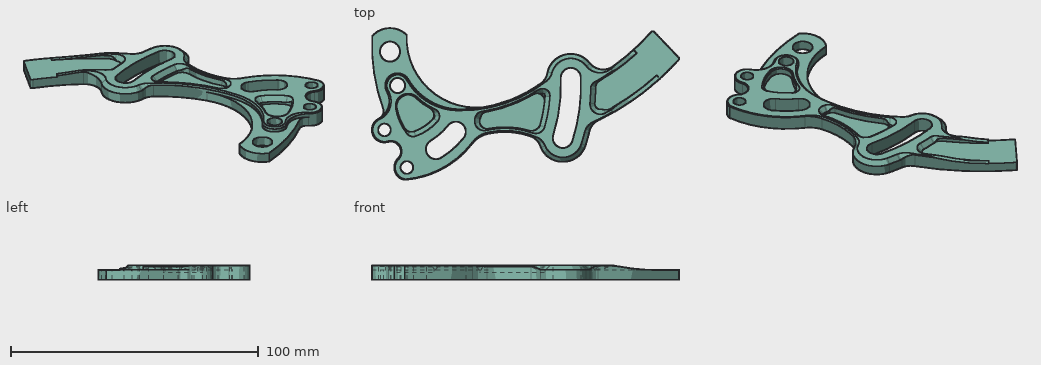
import cadquery as cq
import math

ORIGIN = (0.0, 0.0)

THICKNESS = 5.99
STEP_Z = 4.0
POCKET_FLOOR_Z = 3.0
BEVEL_DEPTH = THICKNESS - STEP_Z
CUT_CLEARANCE = 1.0

BOSS_RADIUS = 5.0
BOSS_HOLE_RADIUS = 3.0
LUG_RADIUS = 5.1
LUG_HOLE_RADIUS = 2.5
LUG_A = (-5.3, -17.92)
LUG_B = (3.74, -33.08)
EAR_CENTRE = (-3.05, 13.7)
EAR_RADIUS = 9.55
EAR_HOLE_RADIUS = 4.0

SLOT_HALF_WIDTH = 4.0
LOWER_SLOT_RADIUS = 30.0
LOWER_SLOT_ANGLES = (-58.9, -38.4)
ARM_SLOT_RADIUS = 70.0
ARM_SLOT_ANGLES = (-17.6, 2.55)

BOW_RADIUS = 38.2
RING_RADIUS = 9.7
DISC_CENTRE = (31.7, 19.15)
DISC_RADIUS = 28.0
NECK_TOP_RADIUS = 55.5
NECK_TANGENT_ANGLE = 103.0
NECK_BOTTOM_CENTRE = (43.34, -50.48)
NECK_BOTTOM_RADIUS = 31.7
EAR_SIDE_CENTRE = (65.0, 16.4)
EAR_SIDE_RADIUS = 75.4
ARM_CENTRE = (34.6, 81.3)
ARM_INNER_RADIUS = 90.3
ARM_OUTER_RADIUS = 106.1

LUG_BLEND = 4.0
BOW_BLEND = 10.3
RING_BLEND = 6.2
ARM_INNER_BLEND = 7.0
PAD_BLEND = 24.0
BOSS_BLEND = 8.0
EAR_BLEND = 3.2

ARM_OVERRUN_RADIUS = 130.0
TIP_EDGE_POINT = (114.7, 10.1)
TIP_ANGLE = 133.7
TIP_CORNER_RADIUS = 0.7
RAMP_START_X = 86.4
RAMP_END_X = 105.3
RIB_END_ANGLE = -47.75
RIB_WIDTH = 1.9
ARM_POCKET_RADIUS = 78.0
ARM_POCKET_INNER_CORNER = 3.0
ARM_POCKET_OUTER_CORNER = 4.2

BOSS_BEVEL = 0.65
LUG_BEVEL = 0.35
BOW_BEVEL = 0.25
NECK_BEVEL = 0.6
RING_BEVEL = 1.85
ARM_BEVEL = 0.35

POCKET_EDGE_BEVEL = 0.5
POCKET_END_BEVEL = 2.0
WEB_SWEEP_CENTRE = (25.5, 13.7)
WEB_SWEEP_RADIUS = 25.5
WEB_LEFT_CENTRE = (21.9, -5.2)
WEB_LEFT_RADIUS = 23.0
WEB_SLOT_WALL_RADIUS = 21.7
WEB_CORNER = 3.1
WEB_TOP_CORNER = 5.1
NECK_POCKET_WALL = 1.55
NECK_POCKET_END_RADIUS = 61.7
NECK_POCKET_START_RADIUS = 33.9
NECK_POCKET_LOWER_CORNER = 3.8
NECK_POCKET_UPPER_CORNER = 3.0
NECK_POCKET_START_CORNERS = (3.2, 3.9)
NECK_FLOOR_START_CORNERS = (2.0, 3.0)


def polar(centre, radius, degrees):
    angle = math.radians(degrees)
    return (centre[0] + radius * math.cos(angle), centre[1] + radius * math.sin(angle))


def heading(start, end):
    return math.degrees(math.atan2(end[1] - start[1], end[0] - start[0]))


LOWER_SLOT_ENDS = [polar(ORIGIN, LOWER_SLOT_RADIUS, a) for a in LOWER_SLOT_ANGLES]
ARM_SLOT_ENDS = [polar(ORIGIN, ARM_SLOT_RADIUS, a) for a in ARM_SLOT_ANGLES]
NECK_TOP_CENTRE = polar(DISC_CENTRE, NECK_TOP_RADIUS - DISC_RADIUS, NECK_TANGENT_ANGLE)


def bulge(centre, radius, inset=0.0):
    """Wall with the material inside its circle, moved inward by the inset."""
    return (centre, radius - inset, 1)


def hollow(centre, radius, inset=0.0):
    """Wall with the material outside its circle, moved inward by the inset."""
    return (centre, radius + inset, -1)


def circle_meeting(centre_a, radius_a, centre_b, radius_b, near):
    """Of the two points where circles meet, the one closest to `near`."""
    gap = math.dist(centre_a, centre_b)
    along = (gap**2 + radius_a**2 - radius_b**2) / (2 * gap)
    across = math.sqrt(max(0.0, radius_a**2 - along**2))
    ux = (centre_b[0] - centre_a[0]) / gap
    uy = (centre_b[1] - centre_a[1]) / gap
    foot = (centre_a[0] + along * ux, centre_a[1] + along * uy)
    choices = [(foot[0] - side * across * uy, foot[1] + side * across * ux) for side in (1, -1)]
    return min(choices, key=lambda point: math.dist(point, near))


def arc_middle(centre, start, end, turn):
    """Middle of the arc from start to end; turn is 1 anticlockwise, -1 clockwise."""
    sweep = (turn * (heading(centre, end) - heading(centre, start))) % 360
    return polar(centre, math.dist(centre, start), heading(centre, start) + turn * sweep / 2)


def profile(steps, z):
    """Closed anticlockwise outline at height z.

    Each step is a wall, the radius of the corner after it (positive rounds the profile,
    negative fills an inside corner, zero is a plain meeting point) and a point near that corner.
    """
    corners = []
    for index, (wall, radius, near) in enumerate(steps):
        walls = (wall, steps[(index + 1) % len(steps)][0])
        reach = [size - side * radius for _, size, side in walls]
        centre = circle_meeting(walls[0][0], reach[0], walls[1][0], reach[1], near)
        ends = [centre, centre]
        if radius:
            ends = [polar(middle, size, heading(middle, centre)) for middle, size, _ in walls]
        corners.append((centre, ends))

    start = corners[-1][1][1]
    path = cq.Workplane("XY", origin=(0, 0, z)).moveTo(*start)
    for (wall, radius, _), (centre, ends) in zip(steps, corners):
        path = path.threePointArc(arc_middle(wall[0], start, ends[0], wall[2]), ends[0])
        if radius:
            turn = math.copysign(1, radius)
            path = path.threePointArc(arc_middle(centre, ends[0], ends[1], turn), ends[1])
        start = ends[1]
    return path.close()


def grown(steps, distance):
    """The same steps with every wall moved outward; tangent corner arcs stay concentric."""
    return [
        ((middle, size + side * distance, side), radius and radius + distance, near)
        for (middle, size, side), radius, near in steps
    ]


def sloped_block(steps, growth):
    """Block from the top face down to the step level, growing or shrinking at 45 degrees."""
    top = profile(steps, THICKNESS).val()
    bottom = profile(grown(steps, growth), STEP_Z).val()
    return cq.Workplane(cq.Solid.makeLoft([top, bottom], True))


def lug_to_neck(bevel):
    """Steps shared by every outline, from lug A anticlockwise to the top of the neck."""
    return [
        (bulge(LUG_A, LUG_RADIUS, bevel * LUG_BEVEL), -LUG_BLEND - bevel * LUG_BEVEL, (-3, -27)),
        (bulge(LUG_B, LUG_RADIUS, bevel * LUG_BEVEL), 0, (4, -38)),
        (bulge(ORIGIN, BOW_RADIUS, bevel * BOW_BEVEL), -BOW_BLEND, (39, -29)),
        (hollow(NECK_BOTTOM_CENTRE, NECK_BOTTOM_RADIUS, bevel * NECK_BEVEL), -RING_BLEND, (51, -26)),
        (bulge(ARM_SLOT_ENDS[0], RING_RADIUS, bevel * RING_BEVEL), 0, (76, -24)),
        (bulge(ORIGIN, ARM_SLOT_RADIUS + RING_RADIUS, bevel * RING_BEVEL), -RING_BLEND, (83, -20)),
        (bulge(ARM_CENTRE, ARM_OUTER_RADIUS, bevel * ARM_BEVEL), 0, (125, 20)),
        (bulge(ORIGIN, ARM_OVERRUN_RADIUS), 0, (112, 35)),
        (hollow(ARM_CENTRE, ARM_INNER_RADIUS, bevel * ARM_BEVEL), -ARM_INNER_BLEND, (83, 12)),
        (bulge(ARM_SLOT_ENDS[1], RING_RADIUS, bevel * RING_BEVEL), -RING_BLEND, (55, 7)),
    ]


def base_steps():
    """Full outline with the mounting ear."""
    return lug_to_neck(0) + [
        (hollow(NECK_TOP_CENTRE, NECK_TOP_RADIUS), 0, (38, -8)),
        (hollow(DISC_CENTRE, DISC_RADIUS), 0, (4, 20)),
        (bulge(EAR_CENTRE, EAR_RADIUS), 0, (-10, 20)),
        (bulge(EAR_SIDE_CENTRE, EAR_SIDE_RADIUS), -EAR_BLEND, (-9, -11)),
    ]


def raised_steps(bevel):
    """Outline above the ear level: bevel 0 is the wall, bevel 1 the edge of the top face."""
    return lug_to_neck(bevel) + [
        (hollow(NECK_TOP_CENTRE, NECK_TOP_RADIUS, bevel * NECK_BEVEL), -PAD_BLEND, (25, 14)),
        (bulge(ORIGIN, BOSS_RADIUS, bevel * BOSS_BEVEL), -BOSS_BLEND, (-12, -6)),
    ]


def plate():
    lower = profile(base_steps(), 0).extrude(STEP_Z)
    wall = profile(raised_steps(0), STEP_Z).extrude(BEVEL_DEPTH)
    bevel = sloped_block(raised_steps(1), BEVEL_DEPTH)
    return lower.union(wall.intersect(bevel))


def trim_tip(body):
    size = 2 * ARM_OVERRUN_RADIUS
    beyond = (
        cq.Workplane("XY")
        .box(size, size, size)
        .translate((0, -size / 2, 0))
        .rotate((0, 0, 0), (0, 0, 1), TIP_ANGLE)
        .translate((*TIP_EDGE_POINT, 0))
    )
    outward = cq.Vector(*polar(ORIGIN, 1, TIP_ANGLE - 90), 0)
    corners = cq.selectors.DirectionMinMaxSelector(outward)
    return body.cut(beyond).edges("|Z").edges(corners).fillet(TIP_CORNER_RADIUS)


def ramp_cut():
    """Concave ramp that lowers the arm ribs to the tip level, tangent to it at the end."""
    length = RAMP_END_X - RAMP_START_X
    radius = (length**2 + BEVEL_DEPTH**2) / (2 * BEVEL_DEPTH)
    centre = (RAMP_END_X, STEP_Z + radius)
    start = (RAMP_START_X, THICKNESS)
    end = (RAMP_END_X, STEP_Z)
    above = THICKNESS + CUT_CLEARANCE
    return (
        cq.Workplane("XZ")
        .moveTo(*start)
        .threePointArc(arc_middle(centre, start, end, 1), end)
        .lineTo(ARM_OVERRUN_RADIUS, STEP_Z)
        .lineTo(ARM_OVERRUN_RADIUS, above)
        .lineTo(RAMP_START_X, above)
        .close()
        .extrude(ARM_OVERRUN_RADIUS, both=True)
    )


def tip_cut():
    """Takes the tip beyond the rib ends down to its level."""
    size = ARM_OVERRUN_RADIUS
    return (
        cq.Workplane("XY")
        .box(size, size, BEVEL_DEPTH + CUT_CLEARANCE, centered=(False, False, False))
        .rotate((0, 0, 0), (0, 0, 1), RIB_END_ANGLE)
        .translate((*ARM_CENTRE, STEP_Z))
    )


def pocket(outline_steps, floor_z):
    """Straight pocket joined to a bevelled mouth; bevel 0 is the top edge, bevel 1 the floor."""
    straight = profile(outline_steps(1), floor_z).extrude(THICKNESS - floor_z)
    mouth = sloped_block(outline_steps(0), -BEVEL_DEPTH)
    return straight.union(mouth)


def web_pocket_steps(bevel):
    edge = bevel * POCKET_EDGE_BEVEL
    end = bevel * POCKET_END_BEVEL
    return [
        (bulge(WEB_LEFT_CENTRE, WEB_LEFT_RADIUS, edge), WEB_CORNER, (6, -17)),
        (bulge(ORIGIN, WEB_SLOT_WALL_RADIUS, end), WEB_CORNER, (13, -12)),
        (hollow(WEB_SWEEP_CENTRE, WEB_SWEEP_RADIUS, edge), WEB_TOP_CORNER - edge, (4, -8)),
    ]


def neck_pocket_steps(bevel):
    inset = NECK_POCKET_WALL + bevel * POCKET_EDGE_BEVEL
    end = bevel * POCKET_END_BEVEL
    upper = hollow(NECK_TOP_CENTRE, NECK_TOP_RADIUS, inset)
    lower = hollow(NECK_BOTTOM_CENTRE, NECK_BOTTOM_RADIUS, inset)
    right = bulge(ORIGIN, NECK_POCKET_END_RADIUS, end)
    left = hollow(ORIGIN, NECK_POCKET_START_RADIUS, end)
    start_upper, start_lower = NECK_FLOOR_START_CORNERS if bevel else NECK_POCKET_START_CORNERS
    return [
        (lower, NECK_POCKET_LOWER_CORNER, (57, -16)),
        (right, NECK_POCKET_UPPER_CORNER, (58, -5)),
        (upper, start_upper, (34, -13)),
        (left, start_lower, (34, -15)),
    ]


def arm_pocket_steps(bevel):
    edge = RIB_WIDTH - (1 - bevel) * POCKET_EDGE_BEVEL
    end = bevel * POCKET_END_BEVEL
    return [
        (hollow(ORIGIN, ARM_POCKET_RADIUS, end), ARM_POCKET_OUTER_CORNER, (81, -8)),
        (bulge(ARM_CENTRE, ARM_OUTER_RADIUS, edge), 0, (124, 20)),
        (bulge(ORIGIN, ARM_OVERRUN_RADIUS), 0, (112, 35)),
        (hollow(ARM_CENTRE, ARM_INNER_RADIUS, edge), ARM_POCKET_INNER_CORNER, (81, -1)),
    ]


def round_hole(centre, radius):
    return cq.Workplane("XY").center(*centre).circle(radius).extrude(THICKNESS)


def curved_slot(radius, ends):
    inner = radius - SLOT_HALF_WIDTH
    outer = radius + SLOT_HALF_WIDTH
    steps = [
        (bulge(ends[0], SLOT_HALF_WIDTH), 0, polar(ORIGIN, outer, heading(ORIGIN, ends[0]))),
        (bulge(ORIGIN, outer), 0, polar(ORIGIN, outer, heading(ORIGIN, ends[1]))),
        (bulge(ends[1], SLOT_HALF_WIDTH), 0, polar(ORIGIN, inner, heading(ORIGIN, ends[1]))),
        (hollow(ORIGIN, inner), 0, polar(ORIGIN, inner, heading(ORIGIN, ends[0]))),
    ]
    return profile(steps, 0).extrude(THICKNESS)


body = plate().cut(ramp_cut()).cut(tip_cut())
body = trim_tip(body)
body = body.cut(pocket(web_pocket_steps, POCKET_FLOOR_Z))
body = body.cut(pocket(neck_pocket_steps, POCKET_FLOOR_Z))
body = body.cut(pocket(arm_pocket_steps, STEP_Z))
for hole_centre, hole_radius in [
    (ORIGIN, BOSS_HOLE_RADIUS),
    (LUG_A, LUG_HOLE_RADIUS),
    (LUG_B, LUG_HOLE_RADIUS),
    (EAR_CENTRE, EAR_HOLE_RADIUS),
]:
    body = body.cut(round_hole(hole_centre, hole_radius))
body = body.cut(curved_slot(LOWER_SLOT_RADIUS, LOWER_SLOT_ENDS))
body = body.cut(curved_slot(ARM_SLOT_RADIUS, ARM_SLOT_ENDS))

result = body